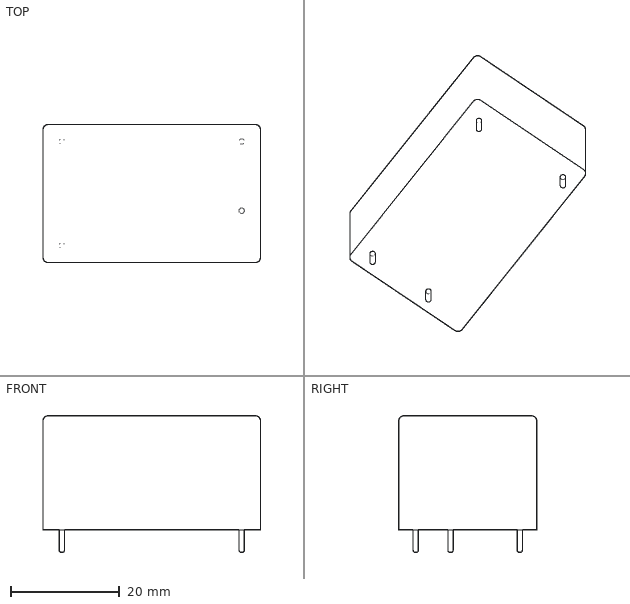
import cadquery as cq

housing_length = 40.0
housing_width = 25.4
housing_height = 21.0
edge_radius = 1.0

overall_height = 25.1
pin_diameter = 1.0
pin_length = overall_height - housing_height
pin_tip_radius = 0.4
pin_x = 16.5
pin_y = 9.55
positive_output_y = -3.15

pin_places = [
    (-pin_x, pin_y),
    (-pin_x, -pin_y),
    (pin_x, pin_y),
    (pin_x, positive_output_y),
]


def make_housing():
    """Block with rounded corners and top edges and a sharp, flat underside."""
    block = cq.Workplane("XY").box(
        housing_length, housing_width, housing_height, centered=(True, True, False)
    )
    return block.edges("|Z or >Z").fillet(edge_radius)


def make_pin(x, y):
    """Round pin hanging from the underside, with a rounded tip."""
    pin = cq.Workplane("XY").center(x, y).circle(pin_diameter / 2).extrude(-pin_length)
    return pin.faces("<Z").edges().fillet(pin_tip_radius)


housing = make_housing()
pins = [make_pin(x, y) for x, y in pin_places]

result = cq.Compound.makeCompound([housing.val(), *[pin.val() for pin in pins]])